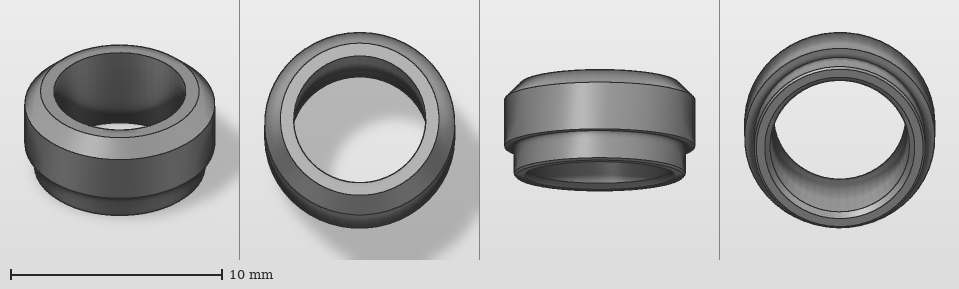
import cadquery as cq
import math

collar_diameter = 9.0
spigot_diameter = 8.1
bore_diameter = 6.25
flare_diameter = 6.6
total_height = 4.4
spigot_height = 1.4
collar_chamfer = 0.75
spigot_chamfer = 0.1
mouth_chamfer = 0.25

collar_height = total_height - spigot_height

spigot = (
    cq.Workplane("XY")
    .circle(spigot_diameter / 2)
    .extrude(spigot_height)
    .faces("<Z")
    .edges()
    .chamfer(spigot_chamfer)
)

collar = (
    cq.Workplane("XY")
    .workplane(offset=spigot_height)
    .circle(collar_diameter / 2)
    .extrude(collar_height)
    .faces(">Z")
    .edges()
    .chamfer(collar_chamfer)
)

flare_depth = total_height - mouth_chamfer
flare_growth = (flare_diameter - bore_diameter) / 2
flare_radius = (flare_depth**2 + flare_growth**2) / (2 * flare_growth)
half_angle = math.asin(flare_depth / flare_radius) / 2
flare_middle = (
    bore_diameter / 2 + flare_radius * (1 - math.cos(half_angle)),
    total_height - flare_radius * math.sin(half_angle),
)
bore = (
    cq.Workplane("XZ")
    .moveTo(0, 0)
    .lineTo(flare_diameter / 2 + mouth_chamfer, 0)
    .lineTo(flare_diameter / 2, mouth_chamfer)
    .threePointArc(flare_middle, (bore_diameter / 2, total_height))
    .lineTo(0, total_height)
    .close()
    .revolve(360, (0, 0), (0, 1))
)

result = spigot.union(collar).cut(bore)